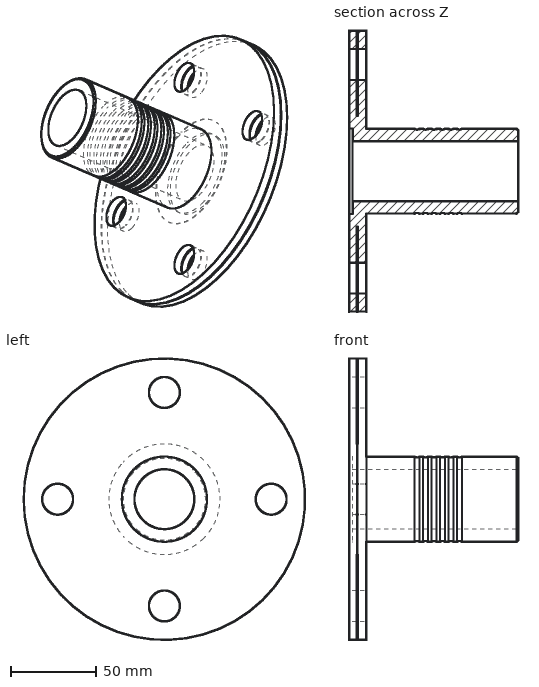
import cadquery as cq

total_length = 99.0
flange_diameter = 165.0
flange_thickness = 10.0
hub_diameter = 50.0
bore_diameter = 35.0
end_chamfer = 1.0

recess_depth = 2.0

slit_start = 4.5
slit_width = 0.5
slit_core_diameter = 65.0

bolt_hole_count = 4
bolt_hole_diameter = 18.0
bolt_circle_diameter = 125.0

groove_count = 6
groove_start = 38.3
groove_width = 3.0
groove_pitch = 5.0
groove_depth = 0.5


def cylinder(diameter, start, length):
    """Cylinder on the X axis, beginning at X = start."""
    return cq.Workplane("YZ", origin=(start, 0, 0)).circle(diameter / 2).extrude(length)


def groove_cutter(start):
    """Ring with a circular-arc section that bites into the hub surface."""
    hub_radius = hub_diameter / 2
    outer_radius = hub_radius + groove_depth
    middle = start + groove_width / 2
    end = start + groove_width
    return (
        cq.Workplane("XY")
        .moveTo(start, outer_radius)
        .lineTo(start, hub_radius)
        .threePointArc((middle, hub_radius - groove_depth), (end, hub_radius))
        .lineTo(end, outer_radius)
        .close()
        .revolve(360, (0, 0, 0), (1, 0, 0))
    )


hub = cylinder(hub_diameter, 0, total_length).faces(">X").chamfer(end_chamfer)
result = hub.union(cylinder(flange_diameter, 0, flange_thickness))

result = result.cut(cylinder(hub_diameter, 0, recess_depth))
result = result.cut(cylinder(bore_diameter, 0, total_length))

slit = cylinder(flange_diameter, slit_start, slit_width)
slit = slit.cut(cylinder(slit_core_diameter, slit_start, slit_width))
result = result.cut(slit)

bolt_holes = (
    cq.Workplane("YZ")
    .polarArray(bolt_circle_diameter / 2, 0, 360, bolt_hole_count)
    .circle(bolt_hole_diameter / 2)
    .extrude(flange_thickness)
)
result = result.cut(bolt_holes)

for index in range(groove_count):
    result = result.cut(groove_cutter(groove_start + index * groove_pitch))